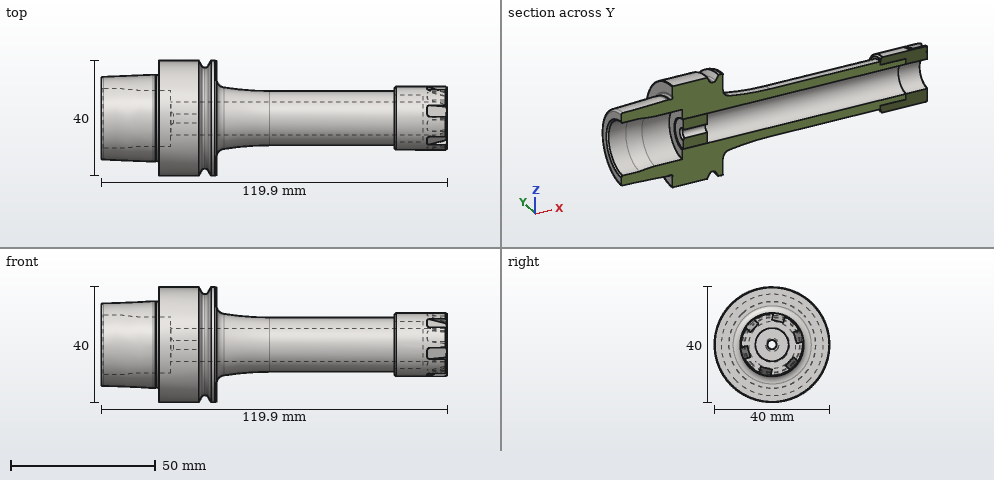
import cadquery as cq
import math

LENGTH = 119.9

RIM_FILLET = 0.7
TAPER_SMALL_R = 14.4
TAPER_LARGE_R = 15.1
TAPER_END_X = 17.9
LAND_END_X = 18.7
RELIEF_R = 15.0
RELIEF_START_X = 19.1
RELIEF_FILLET = 0.5
FACE_RECESS_DEPTH = 0.1
FACE_RECESS_LIP = 0.6

FLANGE_R = 20.0
FLANGE_X = 20.0
FLANGE_WIDTH = 20.0
FLANGE_REAR_CHAMFER = 0.18
FLANGE_FRONT_CHAMFER_X = 0.7
FLANGE_FRONT_CHAMFER_R = 0.2
GROOVE_CENTRE_X = 36.0
GROOVE_HALF_WIDTH = 2.2
GROOVE_FLOOR_R = 17.6
GROOVE_WALL_ANGLE = math.radians(30)
GROOVE_FILLET = 0.8

NECK_R = 9.5
NECK_BLEND_R = 100.0
NECK_BLEND_END_X = 58.3
NECK_FILLET_END_X = 42.5
NOSE_R = 8.2
NOSE_END_X = 111.5

BORE_R = 10.3
BORE_CHAMFER = 0.6
BORE_STRAIGHT_END_X = 7.2
BORE_FLOOR_R = 9.7
BORE_CONE_END_X = 13.2
BORE_FLOOR_X = 24.0
CHANNEL_R = 5.8
CHANNEL_CHAMFER = 0.2

SCREW_LENGTH = 9.6
SCREW_HOLE_R = 1.5
SCREW_HOLE_CHAMFER = 0.7

NUT_X = 101.5
NUT_R = 11.0
NUT_REAR_CHAMFER = 0.7
NUT_FRONT_CHAMFER_X = 0.6
NUT_FRONT_CHAMFER_R = 0.4
SLOT_COUNT = 6
SLOT_FIRST_ANGLE = 13.5
SLOT_WIDTH = 4.1
SLOT_ROOT_X = 113.0
SLOT_ROOT_DEPTH = 0.1
SLOT_CORNER_R = 1.1
SLOT_TILT = 20.0


def turned(profile):
    """Revolve a closed (x, radius) outline about the X axis."""
    return profile.close().revolve(360, (0, 0, 0), (1, 0, 0))


def holder_blank():
    flange_end_x = FLANGE_X + FLANGE_WIDTH
    recess_x = FLANGE_X + FACE_RECESS_DEPTH
    rim_mid = RIM_FILLET * math.sqrt(0.5)
    fillet_mid = RELIEF_FILLET * math.sqrt(0.5)
    recess_r = RELIEF_R + RELIEF_FILLET

    blend_angle = math.asin((NECK_BLEND_END_X - NECK_FILLET_END_X) / NECK_BLEND_R)
    blend_start_r = NECK_R + NECK_BLEND_R * (1 - math.cos(blend_angle))
    blend_mid = (
        NECK_BLEND_END_X - NECK_BLEND_R * math.sin(blend_angle / 2),
        NECK_R + NECK_BLEND_R * (1 - math.cos(blend_angle / 2)),
    )
    neck_fillet = (NECK_FILLET_END_X - flange_end_x) / (1 - math.sin(blend_angle))
    fillet_centre_x = flange_end_x + neck_fillet
    fillet_centre_r = blend_start_r + neck_fillet * math.cos(blend_angle)
    fillet_mid_angle = (math.pi / 2 - blend_angle) / 2
    neck_fillet_mid = (
        fillet_centre_x - neck_fillet * math.cos(fillet_mid_angle),
        fillet_centre_r - neck_fillet * math.sin(fillet_mid_angle),
    )

    profile = (
        cq.Workplane("XY")
        .moveTo(0, 0)
        .lineTo(0, TAPER_SMALL_R - RIM_FILLET)
        .threePointArc(
            (RIM_FILLET - rim_mid, TAPER_SMALL_R - RIM_FILLET + rim_mid),
            (RIM_FILLET, TAPER_SMALL_R),
        )
        .lineTo(TAPER_END_X, TAPER_LARGE_R)
        .lineTo(LAND_END_X, TAPER_LARGE_R)
        .lineTo(RELIEF_START_X, RELIEF_R)
        .lineTo(recess_x - RELIEF_FILLET, RELIEF_R)
        .threePointArc(
            (recess_x - RELIEF_FILLET + fillet_mid, recess_r - fillet_mid),
            (recess_x, recess_r),
        )
        .lineTo(FLANGE_X, recess_r + FACE_RECESS_LIP)
        .lineTo(FLANGE_X, FLANGE_R - FLANGE_REAR_CHAMFER)
        .lineTo(FLANGE_X + FLANGE_REAR_CHAMFER, FLANGE_R)
        .lineTo(flange_end_x - FLANGE_FRONT_CHAMFER_X, FLANGE_R)
        .lineTo(flange_end_x, FLANGE_R - FLANGE_FRONT_CHAMFER_R)
        .lineTo(flange_end_x, fillet_centre_r)
        .threePointArc(neck_fillet_mid, (NECK_FILLET_END_X, blend_start_r))
        .threePointArc(blend_mid, (NECK_BLEND_END_X, NECK_R))
        .lineTo(NUT_X, NECK_R)
        .lineTo(NUT_X, NOSE_R)
        .lineTo(NOSE_END_X, NOSE_R)
        .lineTo(NOSE_END_X, 0)
    )
    return turned(profile)


def gripper_groove():
    floor_half_width = GROOVE_HALF_WIDTH - (FLANGE_R - GROOVE_FLOOR_R) * math.tan(GROOVE_WALL_ANGLE)
    turn = math.pi / 2 - GROOVE_WALL_ANGLE
    trim = GROOVE_FILLET * math.tan(turn / 2)
    wall_x = floor_half_width + trim * math.sin(GROOVE_WALL_ANGLE)
    wall_r = GROOVE_FLOOR_R + trim * math.cos(GROOVE_WALL_ANGLE)
    flat_x = floor_half_width - trim
    mid_x = flat_x + GROOVE_FILLET * math.sin(turn / 2)
    mid_r = GROOVE_FLOOR_R + GROOVE_FILLET * (1 - math.cos(turn / 2))
    profile = (
        cq.Workplane("XY")
        .moveTo(GROOVE_CENTRE_X - GROOVE_HALF_WIDTH, FLANGE_R)
        .lineTo(GROOVE_CENTRE_X - wall_x, wall_r)
        .threePointArc((GROOVE_CENTRE_X - mid_x, mid_r), (GROOVE_CENTRE_X - flat_x, GROOVE_FLOOR_R))
        .lineTo(GROOVE_CENTRE_X + flat_x, GROOVE_FLOOR_R)
        .threePointArc((GROOVE_CENTRE_X + mid_x, mid_r), (GROOVE_CENTRE_X + wall_x, wall_r))
        .lineTo(GROOVE_CENTRE_X + GROOVE_HALF_WIDTH, FLANGE_R)
    )
    return turned(profile)


def holder_bore():
    profile = (
        cq.Workplane("XY")
        .moveTo(0, 0)
        .lineTo(0, BORE_R + BORE_CHAMFER)
        .lineTo(BORE_CHAMFER, BORE_R)
        .lineTo(BORE_STRAIGHT_END_X, BORE_R)
        .lineTo(BORE_CONE_END_X, BORE_FLOOR_R)
        .lineTo(BORE_FLOOR_X, BORE_FLOOR_R)
        .lineTo(BORE_FLOOR_X, CHANNEL_R + CHANNEL_CHAMFER)
        .lineTo(BORE_FLOOR_X + CHANNEL_CHAMFER, CHANNEL_R)
        .lineTo(NOSE_END_X, CHANNEL_R)
        .lineTo(NOSE_END_X, 0)
    )
    return turned(profile)


def make_holder():
    return holder_blank().cut(gripper_groove()).cut(holder_bore())


def make_stop_screw():
    """Hollow screw at the rear of the channel, its hole countersunk towards the bore."""
    rear_x = BORE_FLOOR_X + CHANNEL_CHAMFER
    profile = (
        cq.Workplane("XY")
        .moveTo(rear_x, SCREW_HOLE_R + SCREW_HOLE_CHAMFER)
        .lineTo(rear_x, CHANNEL_R)
        .lineTo(rear_x + SCREW_LENGTH, CHANNEL_R)
        .lineTo(rear_x + SCREW_LENGTH, SCREW_HOLE_R)
        .lineTo(rear_x + SCREW_HOLE_CHAMFER, SCREW_HOLE_R)
    )
    return turned(profile)


def spanner_slot():
    """Slot at the top of the nut, open to the front, its floor falling towards the front."""
    length = 2 * (LENGTH - SLOT_ROOT_X)
    height = NUT_R
    return (
        cq.Workplane("XY")
        .box(length, SLOT_WIDTH, height, centered=(False, True, False))
        .edges("|Z and <X")
        .fillet(SLOT_CORNER_R)
        .rotate((0, 0, 0), (0, 1, 0), SLOT_TILT)
        .translate((SLOT_ROOT_X, 0, NUT_R - SLOT_ROOT_DEPTH))
    )


def make_nut():
    profile = (
        cq.Workplane("XY")
        .moveTo(NUT_X, NOSE_R)
        .lineTo(NUT_X, NUT_R - NUT_REAR_CHAMFER)
        .lineTo(NUT_X + NUT_REAR_CHAMFER, NUT_R)
        .lineTo(LENGTH - NUT_FRONT_CHAMFER_X, NUT_R)
        .lineTo(LENGTH, NUT_R - NUT_FRONT_CHAMFER_R)
        .lineTo(LENGTH, CHANNEL_R)
        .lineTo(NOSE_END_X, CHANNEL_R)
        .lineTo(NOSE_END_X, NOSE_R)
    )
    nut = turned(profile)
    slot = spanner_slot()
    for index in range(SLOT_COUNT):
        angle = SLOT_FIRST_ANGLE + index * 360.0 / SLOT_COUNT
        nut = nut.cut(slot.rotate((0, 0, 0), (1, 0, 0), -angle))
    return nut


holder = make_holder()
stop_screw = make_stop_screw()
nut = make_nut()

result = cq.Compound.makeCompound([holder.val(), stop_screw.val(), nut.val()])